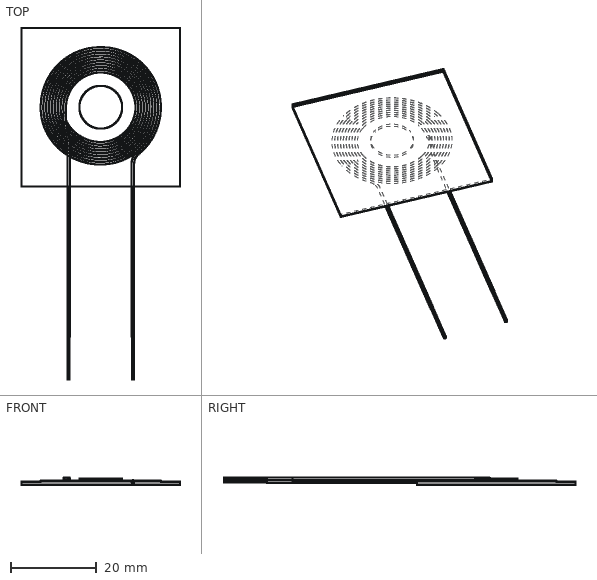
import cadquery as cq
import math

PLATE_SIDE = 37.0
PLATE_THICKNESS = 0.8

PAD_DIAMETER = 10.0
PAD_TOP = 1.5

TOTAL_LENGTH = 82.0
TOTAL_HEIGHT = 1.75

WIRE_DIAMETER = 0.6
TINNED_DIAMETER = 0.61
TIP_DIAMETER = 0.5
TIP_LENGTH = 10.0
TINNED_LENGTH = 6.0

TURN_COUNT = 9
TURN_PITCH = 0.667
INNER_TURN_RADIUS = 8.4
COIL_Z = PLATE_THICKNESS
COIL_END_ANGLE = 51.0
OUTER_TURN_RADIUS = INNER_TURN_RADIUS + (TURN_COUNT - 1) * TURN_PITCH

LEAD_X = 7.5
RAISED_Z = TOTAL_HEIGHT - TINNED_DIAMETER / 2
LEAD_END_Y = PLATE_SIDE / 2 - TOTAL_LENGTH
TIP_START_Y = LEAD_END_Y + TIP_LENGTH
TINNED_START_Y = TIP_START_Y + TINNED_LENGTH

CLIMB_START_Y = -0.6
CLIMB_END_Y = -2.1
SHIFT_START_Y = -3.0
SHIFT_MIDDLE_Y = -5.4
SHIFT_END_Y = -9.0


def sweep_wire(edges, start, direction):
    """Sweep the round wire section along a chain of edges."""
    path = cq.Workplane(cq.Wire.assembleEdges(edges))
    plane = cq.Plane(origin=start, normal=direction)
    return cq.Workplane(plane).circle(WIRE_DIAMETER / 2).sweep(path)


def make_plate():
    return cq.Workplane("XY").box(
        PLATE_SIDE, PLATE_SIDE, PLATE_THICKNESS, centered=(True, True, False)
    )


def make_pad():
    return cq.Workplane("XY").circle(PAD_DIAMETER / 2).extrude(PAD_TOP)


def circular_stretch(radius, start_angle):
    """Constant-radius part of a turn, counter-clockwise from start_angle to the -X axis."""
    angle = math.radians(start_angle)
    start = (radius * math.cos(angle), radius * math.sin(angle), COIL_Z)
    direction = (-math.sin(angle), math.cos(angle), 0)
    edge = cq.Edge.makeCircle(radius, (0, 0, COIL_Z), (0, 0, 1), start_angle, 180)
    return sweep_wire([edge], start, direction)


def step_stretch(outer_radius):
    """Quarter ellipse from the -X axis to the -Y axis, stepping in by one pitch."""
    edge = cq.Edge.makeEllipse(
        outer_radius,
        outer_radius - TURN_PITCH,
        pnt=cq.Vector(0, 0, COIL_Z),
        angle1=180,
        angle2=270,
    )
    return sweep_wire([edge], (-outer_radius, 0, COIL_Z), (0, -1, 0))


def make_coil():
    stretches = []
    for turn in range(TURN_COUNT):
        radius = INNER_TURN_RADIUS + turn * TURN_PITCH
        is_outermost = turn == TURN_COUNT - 1
        start_angle = -COIL_END_ANGLE if is_outermost else -90
        stretches.append(circular_stretch(radius, start_angle))
        if turn > 0:
            stretches.append(step_stretch(radius))
    return stretches


def s_bend(start, middle, end, direction):
    """Two tangent arcs that leave and arrive parallel to direction."""
    first = cq.Edge.makeTangentArc(cq.Vector(start), cq.Vector(direction), cq.Vector(middle))
    second = cq.Edge.makeTangentArc(cq.Vector(middle), first.tangentAt(1), cq.Vector(end))
    return [first, second]


def straight(start, end):
    return cq.Edge.makeLine(cq.Vector(start), cq.Vector(end))


def make_lead_end(x, z):
    """Tinned length and bare tip of a lead."""
    tinned_plane = cq.Plane(origin=(x, TINNED_START_Y, z), normal=(0, -1, 0))
    tip_plane = cq.Plane(origin=(x, TIP_START_Y, z), normal=(0, -1, 0))
    tinned = cq.Workplane(tinned_plane).circle(TINNED_DIAMETER / 2).extrude(TINNED_LENGTH)
    tip = cq.Workplane(tip_plane).circle(TIP_DIAMETER / 2).extrude(TIP_LENGTH)
    return tinned.union(tip)


def make_inner_lead():
    """Lead from the innermost turn, climbing over the coil and then shifting toward +X."""
    toward_end = (0, -1, 0)
    coil_x = -INNER_TURN_RADIUS
    coil_end = (coil_x, 0, COIL_Z)
    climb_start = (coil_x, CLIMB_START_Y, COIL_Z)
    climb_middle = (coil_x, (CLIMB_START_Y + CLIMB_END_Y) / 2, (COIL_Z + RAISED_Z) / 2)
    climb_end = (coil_x, CLIMB_END_Y, RAISED_Z)
    shift_start = (coil_x, SHIFT_START_Y, RAISED_Z)
    shift_end = (-LEAD_X, SHIFT_END_Y, RAISED_Z)

    middle_fraction = (SHIFT_MIDDLE_Y - SHIFT_START_Y) / (SHIFT_END_Y - SHIFT_START_Y)
    middle_x = coil_x + middle_fraction * (-LEAD_X - coil_x)
    shift_middle = (middle_x, SHIFT_MIDDLE_Y, RAISED_Z)

    edges = [straight(coil_end, climb_start)]
    edges += s_bend(climb_start, climb_middle, climb_end, toward_end)
    edges.append(straight(climb_end, shift_start))
    edges += s_bend(shift_start, shift_middle, shift_end, toward_end)
    edges.append(straight(shift_end, (-LEAD_X, TINNED_START_Y, RAISED_Z)))
    lead = sweep_wire(edges, coil_end, toward_end)
    return lead.union(make_lead_end(-LEAD_X, RAISED_Z))


def make_outer_lead():
    """Lead from the outermost turn, bending from the coil tangent to -Y at coil height."""
    angle = math.radians(COIL_END_ANGLE)
    coil_end = (OUTER_TURN_RADIUS * math.cos(angle), -OUTER_TURN_RADIUS * math.sin(angle), COIL_Z)
    direction = (-math.sin(angle), -math.cos(angle), 0)
    bend_radius = (coil_end[0] - LEAD_X) / (1 - math.cos(angle))
    bend_end = (LEAD_X, coil_end[1] - bend_radius * math.sin(angle), COIL_Z)

    edges = [
        cq.Edge.makeTangentArc(cq.Vector(coil_end), cq.Vector(direction), cq.Vector(bend_end)),
        straight(bend_end, (LEAD_X, TINNED_START_Y, COIL_Z)),
    ]
    lead = sweep_wire(edges, coil_end, direction)
    return lead.union(make_lead_end(LEAD_X, COIL_Z))


result = make_plate().union(make_pad())
for stretch in make_coil():
    result = result.union(stretch)
result = result.union(make_inner_lead()).union(make_outer_lead())